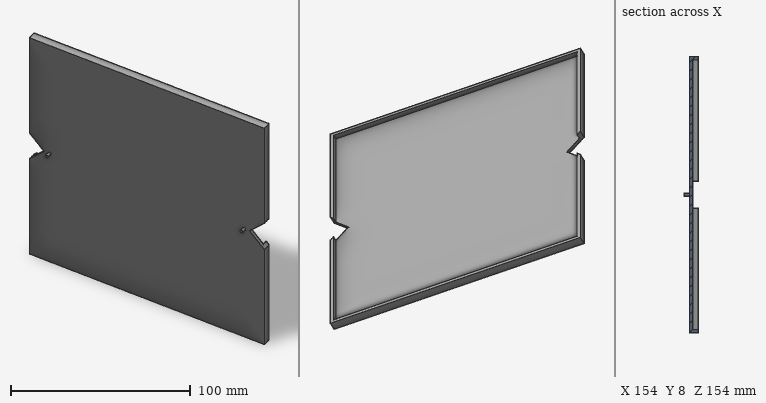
import cadquery as cq

side = 154.0
overall_depth = 8.0
plate_thickness = 5.1
pin_length = overall_depth - plate_thickness

notch_depth = 9.7
notch_height = 18.8

rim_width = 2.0
panel_thickness = 2.0

pin_diameter = 1.8
pin_edge_distance = 13.2

half_side = side / 2
pin_x = half_side - pin_edge_distance


def make_plate():
    """Plate with its front face at Y = 0 and its back face at +Y."""
    return cq.Workplane("XY").box(side, plate_thickness, side).translate((0, plate_thickness / 2, 0))


def make_notch(direction):
    """Triangular cutter for the edge on the given side of X (-1 or +1)."""
    edge_x = direction * half_side
    tip_x = direction * (half_side - notch_depth)
    return (
        cq.Workplane("XZ")
        .polyline([(edge_x, -notch_height / 2), (tip_x, 0), (edge_x, notch_height / 2)])
        .close()
        .extrude(-plate_thickness)
    )


def make_pocket():
    """Square cutter that hollows the plate from the back, inside the rim."""
    pocket_side = side - 2 * rim_width
    pocket_depth = plate_thickness - panel_thickness
    center_y = panel_thickness + pocket_depth / 2
    return cq.Workplane("XY").box(pocket_side, pocket_depth, pocket_side).translate((0, center_y, 0))


def make_pin(direction):
    """Pin standing out of the front face toward -Y."""
    return cq.Workplane("XZ").center(direction * pin_x, 0).circle(pin_diameter / 2).extrude(pin_length)


result = make_plate().cut(make_pocket())
for direction in (-1, 1):
    result = result.cut(make_notch(direction)).union(make_pin(direction))